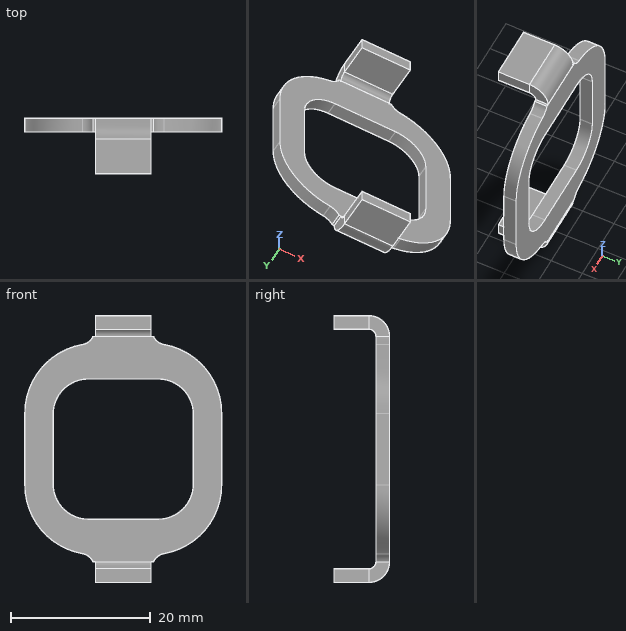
import cadquery as cq
import math

total_height = 38.2
frame_width = 28.2
thickness = 2.0

outer_corner_radius = 10.0
corner_centre_z = 5.1
window_size = 20.0
window_corner_radius = 5.0
neck_fillet_radius = 2.0
neck_fillet_centre_x = 6.15

tab_width = 8.0
tab_length = 5.0
bend_inner_radius = 1.0
bend_outer_radius = bend_inner_radius + thickness

half_width = frame_width / 2
shoulder_z = total_height / 2 - bend_outer_radius

corner_centre_x = half_width - outer_corner_radius

centre_distance = outer_corner_radius + neck_fillet_radius
corner_end_angle = math.acos((neck_fillet_centre_x - corner_centre_x) / centre_distance)
neck_fillet_centre_z = corner_centre_z + centre_distance * math.sin(corner_end_angle)
neck_start_angle = corner_end_angle + math.pi
neck_end_angle = math.pi + math.asin((neck_fillet_centre_z - shoulder_z) / neck_fillet_radius)


def corner_point(angle):
    """Point (x, z) on the upper right corner arc."""
    return (
        corner_centre_x + outer_corner_radius * math.cos(angle),
        corner_centre_z + outer_corner_radius * math.sin(angle),
    )


def neck_point(angle):
    """Point (x, z) on the upper right neck fillet."""
    return (
        neck_fillet_centre_x + neck_fillet_radius * math.cos(angle),
        neck_fillet_centre_z + neck_fillet_radius * math.sin(angle),
    )


def make_frame():
    """Flat frame with a rounded square window and a shoulder at top and bottom."""
    upper_right = (
        cq.Workplane("XZ")
        .lineTo(half_width, 0)
        .lineTo(half_width, corner_centre_z)
        .threePointArc(corner_point(corner_end_angle / 2), corner_point(corner_end_angle))
        .threePointArc(neck_point((neck_start_angle + neck_end_angle) / 2), neck_point(neck_end_angle))
        .lineTo(0, shoulder_z)
        .close()
        .extrude(thickness)
    )
    upper_half = upper_right.union(upper_right.mirror("YZ"))
    blank = upper_half.union(upper_half.mirror("XY")).clean()
    window = (
        cq.Workplane("XZ")
        .rect(window_size, window_size)
        .extrude(thickness)
        .edges("|Y")
        .fillet(window_corner_radius)
    )
    return blank.cut(window)


def make_bend():
    """Quarter-round bend that turns the top shoulder forward to -Y."""
    diagonal = math.sqrt(0.5)
    outer_middle = bend_outer_radius * diagonal
    inner_middle = bend_inner_radius * diagonal
    return (
        cq.Workplane("YZ", origin=(0, -bend_outer_radius, shoulder_z))
        .moveTo(bend_outer_radius, 0)
        .threePointArc((outer_middle, outer_middle), (0, bend_outer_radius))
        .lineTo(0, bend_inner_radius)
        .threePointArc((inner_middle, inner_middle), (bend_inner_radius, 0))
        .close()
        .extrude(tab_width / 2, both=True)
    )


def make_tab():
    """Flat tab that carries on from the front end of the top bend."""
    return cq.Workplane("XY").box(tab_width, tab_length, thickness).translate(
        (0, -bend_outer_radius - tab_length / 2, (total_height - thickness) / 2)
    )


frame = make_frame()
bends = []
tabs = []
for at_bottom in (False, True):
    bend = make_bend()
    tab = make_tab()
    if at_bottom:
        bend = bend.mirror("XY")
        tab = tab.mirror("XY")
    bends.append(bend.solids().val())
    tabs.append(tab.solids().val())

result = cq.Compound.makeCompound([frame.solids().val(), *bends, *tabs])